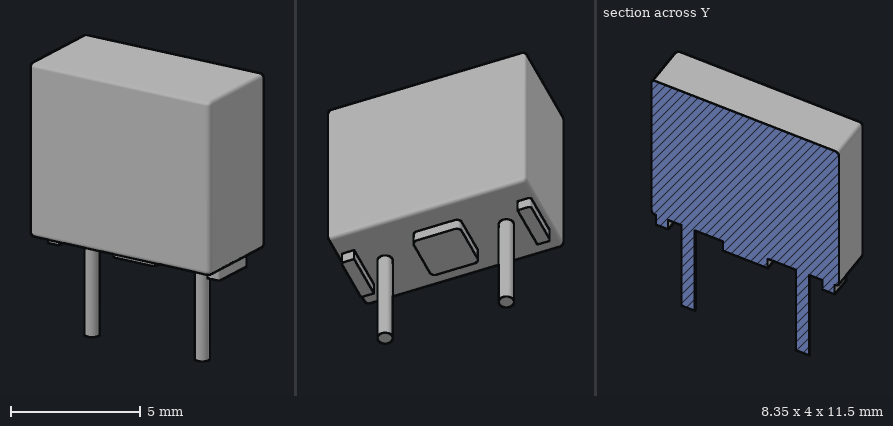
import cadquery as cq

body_length = 8.35
body_width = 4.0
body_height = 7.2
body_edge_radius = 0.2

foot_height = 0.5
foot_width = 2.0
center_foot_length = 2.0
center_foot_radius = 0.2
end_foot_length = 0.55
end_foot_radius = 0.1
end_foot_outer_x = body_length / 2 - body_edge_radius

pin_diameter = 0.6
pin_pitch = 5.08
total_height = 11.5
pin_length_below_feet = total_height - body_height - foot_height


def make_body():
    """Block with every edge rounded, resting on top of the feet."""
    block = cq.Workplane("XY").box(
        body_length, body_width, body_height, centered=(True, True, False)
    )
    return block.edges().fillet(body_edge_radius).translate((0, 0, foot_height))


def make_foot(length, center_x, rounded_edges, radius):
    """Rectangular foot with the selected vertical edges rounded."""
    foot = cq.Workplane("XY").box(
        length, foot_width, foot_height, centered=(True, True, False)
    )
    return foot.edges(rounded_edges).fillet(radius).translate((center_x, 0, 0))


def make_pin(center_x):
    """Straight round lead running down from the underside of the body."""
    pin = cq.Workplane("XY", origin=(center_x, 0, -pin_length_below_feet))
    return pin.circle(pin_diameter / 2).extrude(pin_length_below_feet + foot_height)


result = make_body()
result = result.union(make_foot(center_foot_length, 0, "|Z", center_foot_radius))

for side, outer_edges in ((-1, "|Z and <X"), (1, "|Z and >X")):
    end_foot_x = side * (end_foot_outer_x - end_foot_length / 2)
    result = result.union(make_foot(end_foot_length, end_foot_x, outer_edges, end_foot_radius))
    result = result.union(make_pin(side * pin_pitch / 2))